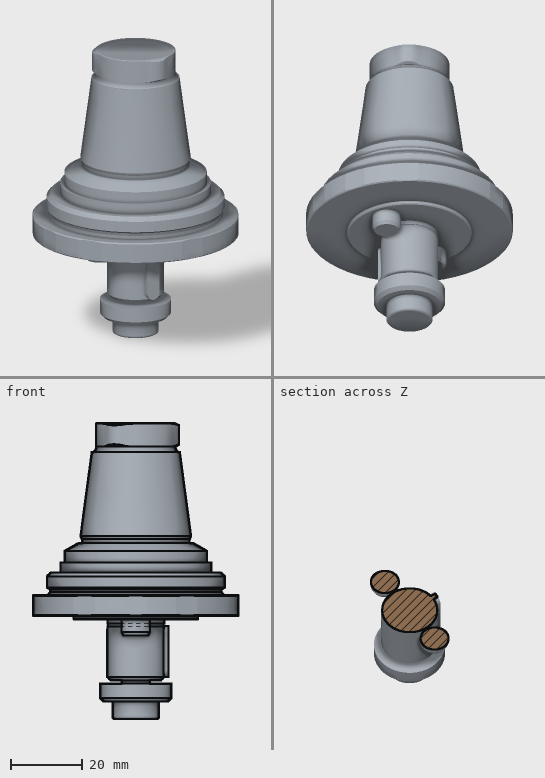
import cadquery as cq
import math

TOTAL_HEIGHT = 83.0
FLANGE_BOTTOM_Z = 28.9
FLANGE_TOP_Z = 34.9
PAD_BOTTOM_Z = 27.9
TAPER_TOP_Z = 74.9
CAP_BOTTOM_Z = 76.45

END_RADIUS = 13.0 / 2
DISC_RADIUS = 20.0 / 2
NECK_RADIUS = 8.0 / 2
SHAFT_RADIUS = 16.0 / 2
SHAFT_RELIEF_RADIUS = 15.6 / 2
PAD_RADIUS = 35.0 / 2
FLANGE_RADIUS = 58.0 / 2
GROOVE_RADIUS = 48.1 / 2
COLLAR_RADIUS = 50.0 / 2
LOWER_STEP_RADIUS = 42.4 / 2
UPPER_STEP_RADIUS = 40.0 / 2
CONE_TOP_RADIUS = 16.0
TAPER_BOTTOM_RADIUS = 15.5
TAPER_RELIEF_RADIUS = 15.1
TAPER_TOP_RADIUS = 12.4
CAP_RADIUS = 11.2
CAP_NECK_RADIUS = 11.1

SMALL_CHAMFER = 0.3
SHAFT_CHAMFER = 1.0
COLLAR_CHAMFER = 1.2
END_FILLET = 0.75

SIDE_FLAT_ANGLES = range(0, 360, 60)
SIDE_FLAT_DISTANCE = 28.8
CROSS_FLAT_ANGLES = (90, 270)
CROSS_FLAT_DISTANCE = 57.7 / 2

LUG_ANGLES = (0, 120, 240)
LUG_TIP_RADIUS = 12.2
LUG_ROUND_RADIUS = 4.3
LUG_BLEND_RADIUS = 17.4
CAP_TOP_RADIUS = 10.9
LUG_TOP_DROP = 0.6
LUG_BOTTOM_RISE = 0.7

PIN_RADIUS = 8.0 / 2
PIN_OFFSET = 12.1
PIN_BOTTOM_Z = 23.5
PIN_CHAMFER_HEIGHT = 1.0
PIN_CHAMFER_WIDTH = 0.5
KEY_WIDTH = 4.0
KEY_BOTTOM_Z = 11.8
KEY_TOP_Z = 26.15
KEY_OUTER_X = 9.2


def revolve_profile(points):
    """Turn (radius, z) points about Z; the profile closes along the axis."""
    profile = cq.Workplane("XZ").polyline(points).close()
    return profile.revolve(360, (0, 0, 0), (0, 1, 0))


def make_spindle():
    """Stepped shaft below the flange, with the retaining disc at its end."""
    disc_bottom, disc_top = 4.9, 10.0
    shaft_bottom = 10.9
    relief_bottom, relief_top = 26.0, 26.8
    spindle = revolve_profile([
        (0, disc_bottom),
        (DISC_RADIUS - SHAFT_CHAMFER, disc_bottom),
        (DISC_RADIUS, disc_bottom + SHAFT_CHAMFER),
        (DISC_RADIUS, disc_top),
        (NECK_RADIUS, disc_top),
        (NECK_RADIUS, shaft_bottom),
        (SHAFT_RADIUS - SHAFT_CHAMFER, shaft_bottom),
        (SHAFT_RADIUS, shaft_bottom + SHAFT_CHAMFER),
        (SHAFT_RADIUS, relief_bottom),
        (SHAFT_RELIEF_RADIUS, relief_bottom),
        (SHAFT_RELIEF_RADIUS, relief_top),
        (SHAFT_RADIUS, relief_top),
        (SHAFT_RADIUS, FLANGE_BOTTOM_Z),
        (0, FLANGE_BOTTOM_Z),
    ])
    end = cq.Workplane("XY").circle(END_RADIUS).extrude(disc_top)
    end = end.faces("<Z").edges().fillet(END_FILLET)
    return spindle.union(end)


def make_flange():
    """Flange disc with shallow flats milled around its rim."""
    height = FLANGE_TOP_Z - FLANGE_BOTTOM_Z
    flange = cq.Workplane("XY").workplane(offset=FLANGE_BOTTOM_Z).circle(FLANGE_RADIUS).extrude(height)
    flange = flange.edges().chamfer(SMALL_CHAMFER)
    flats = [(angle, SIDE_FLAT_DISTANCE) for angle in SIDE_FLAT_ANGLES]
    flats += [(angle, CROSS_FLAT_DISTANCE) for angle in CROSS_FLAT_ANGLES]
    cutter_width = FLANGE_RADIUS / 2
    for angle, distance in flats:
        cutter = (
            cq.Workplane("XY")
            .box(FLANGE_RADIUS, cutter_width, height, centered=(False, True, False))
            .translate((distance, 0, FLANGE_BOTTOM_Z))
            .rotate((0, 0, 0), (0, 0, 1), angle)
        )
        flange = flange.cut(cutter)
    pad = (
        cq.Workplane("XY")
        .workplane(offset=PAD_BOTTOM_Z)
        .circle(PAD_RADIUS)
        .extrude(FLANGE_TOP_Z - PAD_BOTTOM_Z)
        .faces("<Z")
        .edges()
        .chamfer(SMALL_CHAMFER)
    )
    return flange.union(pad)


def make_upper_body():
    """Collar, steps and tapered cone above the flange."""
    groove_blend = 0.6
    groove_blend_height = 0.75
    collar_bottom, collar_top = 36.9, 41.2
    lower_step_top = 44.0
    upper_step_top = 47.15
    cone_top = 49.4
    relief_top = 50.5
    taper_bottom = 51.3
    return revolve_profile([
        (0, FLANGE_BOTTOM_Z),
        (GROOVE_RADIUS + groove_blend, FLANGE_BOTTOM_Z),
        (GROOVE_RADIUS + groove_blend, FLANGE_TOP_Z),
        (GROOVE_RADIUS, FLANGE_TOP_Z + groove_blend_height),
        (GROOVE_RADIUS, collar_bottom - groove_blend),
        (COLLAR_RADIUS, collar_bottom),
        (COLLAR_RADIUS, collar_top - COLLAR_CHAMFER),
        (COLLAR_RADIUS - COLLAR_CHAMFER, collar_top),
        (LOWER_STEP_RADIUS, collar_top),
        (LOWER_STEP_RADIUS, lower_step_top),
        (UPPER_STEP_RADIUS, lower_step_top),
        (UPPER_STEP_RADIUS, upper_step_top),
        (CONE_TOP_RADIUS, cone_top),
        (TAPER_RELIEF_RADIUS, cone_top),
        (TAPER_RELIEF_RADIUS, relief_top),
        (TAPER_BOTTOM_RADIUS, taper_bottom),
        (TAPER_TOP_RADIUS, TAPER_TOP_Z),
        (0, TAPER_TOP_Z),
    ])


def make_cap_neck():
    """Neck under the cap, flaring in a concave arc onto the top of the taper."""
    flare_width = 0.8
    flare_bulge = 0.25
    foot_radius = CAP_NECK_RADIUS + flare_width
    return (
        cq.Workplane("XZ")
        .moveTo(0, TAPER_TOP_Z)
        .lineTo(foot_radius, TAPER_TOP_Z)
        .sagittaArc((CAP_NECK_RADIUS, CAP_BOTTOM_Z), flare_bulge)
        .lineTo(0, CAP_BOTTOM_Z)
        .close()
        .revolve(360, (0, 0, 0), (0, 1, 0))
    )


def polar_point(radius, angle):
    return (radius * math.cos(angle), radius * math.sin(angle))


def point_towards(start, end, distance):
    """Point at the given distance from start, in the direction of end."""
    angle = math.atan2(end[1] - start[1], end[0] - start[0])
    dx, dy = polar_point(distance, angle)
    return (start[0] + dx, start[1] + dy)


def make_cap():
    """Cap with three rounded lugs that blend tangentially into its rim."""
    lug_center = (LUG_TIP_RADIUS - LUG_ROUND_RADIUS, 0)
    to_cap = CAP_RADIUS + LUG_BLEND_RADIUS
    to_lug = LUG_ROUND_RADIUS + LUG_BLEND_RADIUS
    cosine = (to_cap**2 + lug_center[0]**2 - to_lug**2) / (2 * to_cap * lug_center[0])
    half_angle = math.acos(cosine)
    blend_center = polar_point(to_cap, half_angle)
    foot = polar_point(CAP_RADIUS, half_angle)
    shoulder = point_towards(lug_center, blend_center, LUG_ROUND_RADIUS)
    chord_middle = ((foot[0] + shoulder[0]) / 2, (foot[1] + shoulder[1]) / 2)
    blend_middle = point_towards(blend_center, chord_middle, LUG_BLEND_RADIUS)

    def mirrored(point):
        return (point[0], -point[1])

    height = TOTAL_HEIGHT - CAP_BOTTOM_Z
    outline = cq.Workplane("XY").workplane(offset=CAP_BOTTOM_Z).circle(CAP_RADIUS).extrude(height)
    lug = (
        cq.Workplane("XY")
        .workplane(offset=CAP_BOTTOM_Z)
        .moveTo(0, 0)
        .lineTo(*mirrored(foot))
        .threePointArc(mirrored(blend_middle), mirrored(shoulder))
        .threePointArc((LUG_TIP_RADIUS, 0), shoulder)
        .threePointArc(blend_middle, foot)
        .close()
        .extrude(height)
    )
    for angle in LUG_ANGLES:
        outline = outline.union(lug.rotate((0, 0, 0), (0, 0, 1), angle))
    envelope = revolve_profile([
        (0, CAP_BOTTOM_Z),
        (CAP_RADIUS, CAP_BOTTOM_Z),
        (LUG_TIP_RADIUS, CAP_BOTTOM_Z + LUG_BOTTOM_RISE),
        (LUG_TIP_RADIUS, TOTAL_HEIGHT - LUG_TOP_DROP),
        (CAP_TOP_RADIUS, TOTAL_HEIGHT),
        (0, TOTAL_HEIGHT),
    ])
    return outline.intersect(envelope)


def make_pin(y):
    """Drive pin under the flange, with a bevelled tip."""
    pin = revolve_profile([
        (0, PIN_BOTTOM_Z),
        (PIN_RADIUS - PIN_CHAMFER_WIDTH, PIN_BOTTOM_Z),
        (PIN_RADIUS, PIN_BOTTOM_Z + PIN_CHAMFER_HEIGHT),
        (PIN_RADIUS, FLANGE_BOTTOM_Z),
        (0, FLANGE_BOTTOM_Z),
    ])
    return pin.translate((0, y, 0))


def make_key():
    """Round-ended key standing proud of the shaft on its +X side."""
    return (
        cq.Workplane("YZ")
        .center(0, (KEY_BOTTOM_Z + KEY_TOP_Z) / 2)
        .slot2D(KEY_TOP_Z - KEY_BOTTOM_Z, KEY_WIDTH, 90)
        .extrude(KEY_OUTER_X)
    )


result = make_spindle().union(make_flange()).union(make_upper_body())
result = result.union(make_cap_neck()).union(make_cap())
for pin_y in (-PIN_OFFSET, PIN_OFFSET):
    result = result.union(make_pin(pin_y))
result = result.union(make_key())